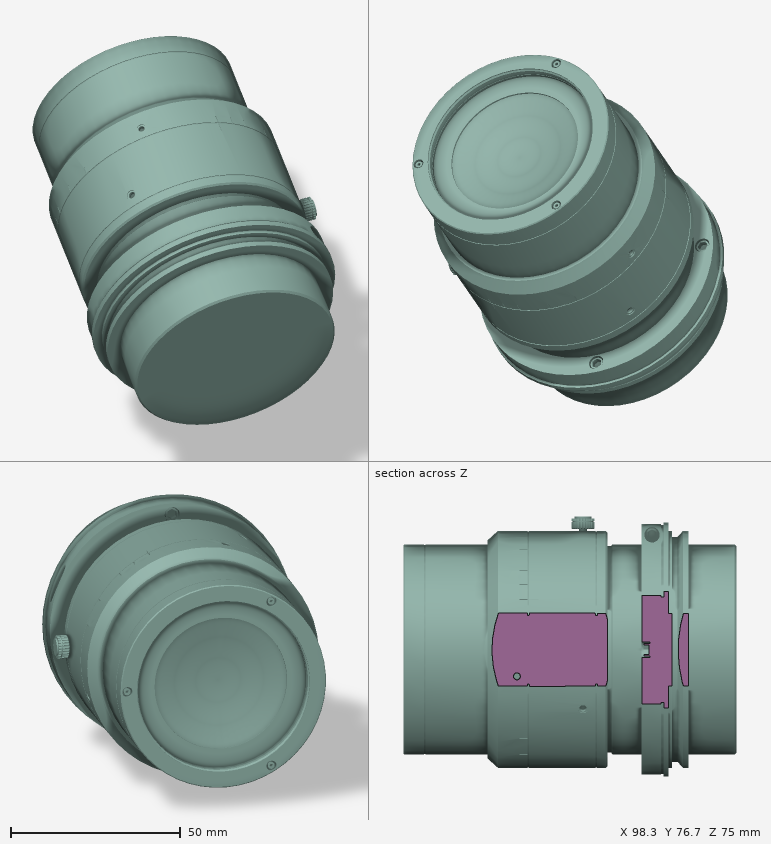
import cadquery as cq
import math


total_length = 98.3
front_seam_x = 6.3
bevel_start_x = 24.8
scale_ring_x = 27.9
scale_seam_x = 36.9
grip_seam_x = 56.9
grip_end_x = 60.2
neck_end_x = 61.4
flange_x = 70.3
flange_end_x = 76.0
disc_x = 76.7
disc_end_x = 78.3
collar_end_x = 79.3
dovetail_groove_end_x = 80.9
dovetail_tip_x = 82.5
dovetail_end_x = 84.1

barrel_radius = 62.0 / 2
bevel_radius = 32.2
grip_radius = 70.0 / 2
neck_radius = 30.5
mount_radius = 31.0
flange_radius = 37.0
flange_step_radius = 36.8
disc_radius = 75.0 / 2
dovetail_groove_radius = 33.2

front_chamfer = 0.3
grip_chamfer = 0.5
mount_chamfer = 0.3
rear_chamfer = 0.6

seam_width = 0.4
seam_depth = 0.2

mouth_radius = 52.2 / 2
mouth_depth = 0.4
mouth_chamfer = 0.4
ledge_x = 2.7
ledge_width = 0.1
recess_depth = 3.6
glass_rim_depth = 0.6
glass_radius = 40.0 / 2
glass_sag = 3.4

front_screw_count = 3
front_screw_circle_radius = 29.0
front_hole_diameter = 3.0
front_head_diameter = 2.1
front_socket_size = 0.9
front_head_recess = 0.3
front_hole_depth = 1.5

screw_places = 3
screw_spacing = 360 / screw_places
scale_screw_x = 33.4
scale_screw_angle = 13.3
scale_screw_diameter = 2.8
scale_socket_diameter = 1.9
grip_screw_x = 53.0
grip_screw_angle = 30.0
grip_screw_diameter = 3.0
grip_socket_diameter = 2.1
set_screw_recess = 0.3
set_screw_socket_depth = 1.2

scale_repeats = 3
scale_start_angle = -24.8
stroke_angles = (0, 8.5, 17, 33, 46.8)
stroke_width = 0.3
stroke_depth = 0.2
scale_stroke_length = 2.6
index_stroke_length = 2.95
index_stroke_width = 0.15

cap_hole_diameter = 4.5
cap_head_diameter = 3.8
cap_socket_size = 2.8
cap_socket_depth = 1.6
cap_hole_depth = 2.3
cap_head_height = 1.8
flange_screw_circle_radius = 33.5
flange_screw_count = 4
clamp_screw_x = 73.4
clamp_screw_y = 33.8
clamp_floor_z = 4.9

knob_top_y = 76.7 - disc_radius
knob_radius = 3.4
knob_height = 3.6
knob_chamfer = 0.3
knob_crown_radius = 2.6
knob_crown_height = 0.5
knob_groove_depth = 0.4
knob_groove_width = 0.4
knob_groove_y = 37.8
knob_stem_radius = 1.2
knob_stem_embed = 1.0
knurl_count = 24
knurl_radius = 0.3


def turn(points):
    """Revolve a closed (x, radius) outline about the X axis."""
    return cq.Workplane("XY").polyline(points).close().revolve(360, (0, 0, 0), (1, 0, 0))


def make_body():
    outline = [
        (0, 0),
        (0, barrel_radius - front_chamfer),
        (front_chamfer, barrel_radius),
        (bevel_start_x, barrel_radius),
        (bevel_start_x, bevel_radius),
        (scale_ring_x, grip_radius),
        (grip_end_x - grip_chamfer, grip_radius),
        (grip_end_x, grip_radius - grip_chamfer),
        (grip_end_x, neck_radius),
        (neck_end_x, neck_radius),
        (neck_end_x, mount_radius - mount_chamfer),
        (neck_end_x + mount_chamfer, mount_radius),
        (flange_x, mount_radius),
        (flange_x, flange_radius),
        (flange_end_x, flange_radius),
        (flange_end_x, flange_step_radius),
        (disc_x, flange_step_radius),
        (disc_x, disc_radius),
        (disc_end_x, disc_radius),
        (disc_end_x, grip_radius),
        (collar_end_x, grip_radius),
        (collar_end_x, dovetail_groove_radius),
        (dovetail_groove_end_x, dovetail_groove_radius),
        (dovetail_tip_x, grip_radius),
        (dovetail_end_x, grip_radius),
        (dovetail_end_x, barrel_radius),
        (total_length - rear_chamfer, barrel_radius),
        (total_length, barrel_radius - rear_chamfer),
        (total_length, 0),
    ]
    return turn(outline)


def seam(x, radius):
    """Shallow ring groove centred at x on a cylinder of the given radius."""
    half_width = seam_width / 2
    bottom = radius - seam_depth
    top = radius + seam_depth
    return turn([
        (x - half_width, bottom),
        (x + half_width, bottom),
        (x + half_width, top),
        (x - half_width, top),
    ])


def front_recess():
    """Stepped cutter with the spherical hollow of the glass at its bottom."""
    sphere_radius = (glass_radius**2 + glass_sag**2) / (2 * glass_sag)
    half_angle = math.asin(glass_radius / sphere_radius) / 2
    wall_radius = mouth_radius - mouth_chamfer
    floor_radius = wall_radius - ledge_width
    glass_edge_x = recess_depth + glass_rim_depth
    glass_centre_x = glass_edge_x + glass_sag
    arc_x = glass_centre_x - sphere_radius * (1 - math.cos(half_angle))
    arc_radius = sphere_radius * math.sin(half_angle)
    return (
        cq.Workplane("XY")
        .moveTo(0, 0)
        .lineTo(0, mouth_radius)
        .lineTo(mouth_depth, mouth_radius)
        .lineTo(mouth_depth + mouth_chamfer, wall_radius)
        .lineTo(ledge_x, wall_radius)
        .lineTo(ledge_x, floor_radius)
        .lineTo(recess_depth, floor_radius)
        .lineTo(recess_depth, glass_radius)
        .lineTo(glass_edge_x, glass_radius)
        .threePointArc((arc_x, arc_radius), (glass_centre_x, 0))
        .close()
        .revolve(360, (0, 0, 0), (1, 0, 0))
    )


def sunk_cap_screw(hole_diameter, hole_depth, head_diameter, head_height, socket_size, socket_depth):
    """Cutter for a hole along -Z from the origin that leaves a hex socket screw head standing in it."""
    head_top = head_height - hole_depth
    hole = cq.Workplane("XY").circle(hole_diameter / 2).extrude(-hole_depth)
    head = cq.Workplane("XY").workplane(offset=-hole_depth).circle(head_diameter / 2).extrude(head_height)
    socket = (
        cq.Workplane("XY")
        .workplane(offset=head_top)
        .polygon(6, socket_size, circumscribed=True)
        .extrude(-socket_depth)
    )
    return hole.cut(head).union(socket)


def place_facing_front(cutter, x, radius, angle):
    """Turn a -Z cutter to point along +X and place it at an angle about X, from +Y towards +Z."""
    return (
        cutter.rotate((0, 0, 0), (0, 1, 0), -90)
        .translate((x, radius, 0))
        .rotate((0, 0, 0), (1, 0, 0), angle)
    )


def radial_set_screw(x, angle, hole_diameter, socket_diameter):
    """Cutter for a recessed set screw; the angle runs about X from +Z towards -Y."""
    overlap = 1.0
    recess_floor = grip_radius - set_screw_recess
    recess = (
        cq.Workplane("XY")
        .workplane(offset=recess_floor)
        .circle(hole_diameter / 2)
        .extrude(set_screw_recess + overlap)
    )
    socket = (
        cq.Workplane("XY")
        .workplane(offset=recess_floor)
        .circle(socket_diameter / 2)
        .extrude(-set_screw_socket_depth)
    )
    return recess.union(socket).translate((x, 0, 0)).rotate((0, 0, 0), (1, 0, 0), angle)


def axial_stroke(start_x, length, width, angle):
    """Cutter for a shallow stroke along X; the angle runs about X from +Z towards -Y."""
    return (
        cq.Workplane("XY")
        .box(length, width, 2 * stroke_depth, centered=(False, True, True))
        .translate((start_x, 0, grip_radius))
        .rotate((0, 0, 0), (1, 0, 0), angle)
    )


def make_knob():
    """Thumb screw with its axis along Y: stem, knurled head, ring groove and raised crown."""
    head_top = knob_top_y - knob_crown_height
    head_bottom = knob_top_y - knob_height
    stem_bottom = grip_radius - knob_stem_embed
    half_groove = knob_groove_width / 2
    outline = [
        (0, stem_bottom),
        (knob_stem_radius, stem_bottom),
        (knob_stem_radius, head_bottom),
        (knob_radius - knob_chamfer, head_bottom),
        (knob_radius, head_bottom + knob_chamfer),
        (knob_radius, knob_groove_y - half_groove),
        (knob_radius - knob_groove_depth, knob_groove_y - half_groove),
        (knob_radius - knob_groove_depth, knob_groove_y + half_groove),
        (knob_radius, knob_groove_y + half_groove),
        (knob_radius, head_top),
        (knob_crown_radius, head_top),
        (knob_crown_radius, knob_top_y),
        (0, knob_top_y),
    ]
    knob = cq.Workplane("XY").polyline(outline).close().revolve(360, (0, 0, 0), (0, 1, 0))
    flutes = (
        cq.Workplane("XZ", origin=(0, head_bottom, 0))
        .polarArray(knob_radius, 0, 360, knurl_count)
        .circle(knurl_radius)
        .extrude(-(head_top - head_bottom))
    )
    return knob.cut(flutes).translate((grip_screw_x, 0, 0))


result = make_body().cut(front_recess())
result = result.cut(seam(front_seam_x, barrel_radius))
for seam_x in (scale_seam_x, grip_seam_x):
    result = result.cut(seam(seam_x, grip_radius))

scale_stroke_x = scale_seam_x - scale_stroke_length
for repeat in range(scale_repeats):
    start_angle = scale_start_angle + repeat * 360 / scale_repeats
    for stroke_angle in stroke_angles:
        angle = start_angle - stroke_angle
        result = result.cut(axial_stroke(scale_stroke_x, scale_stroke_length, stroke_width, angle))
    result = result.cut(axial_stroke(scale_seam_x, index_stroke_length, index_stroke_width, start_angle))

front_screw = sunk_cap_screw(
    front_hole_diameter,
    front_hole_depth,
    front_head_diameter,
    front_hole_depth - front_head_recess,
    front_socket_size,
    front_hole_depth - front_head_recess,
)
for index in range(front_screw_count):
    angle = index * 360 / front_screw_count
    result = result.cut(place_facing_front(front_screw, 0, front_screw_circle_radius, angle))

cap_screw = sunk_cap_screw(
    cap_hole_diameter,
    cap_hole_depth,
    cap_head_diameter,
    cap_head_height,
    cap_socket_size,
    cap_socket_depth,
)
for index in range(1, flange_screw_count):
    angle = index * 360 / flange_screw_count
    result = result.cut(place_facing_front(cap_screw, flange_x, flange_screw_circle_radius, angle))

clamp_hole_height = flange_radius - clamp_floor_z
clamp_screw = sunk_cap_screw(
    cap_hole_diameter,
    clamp_hole_height,
    cap_head_diameter,
    cap_head_height,
    cap_socket_size,
    cap_socket_depth,
)
result = result.cut(clamp_screw.translate((clamp_screw_x, clamp_screw_y, flange_radius)))

for index in range(screw_places):
    angle = scale_screw_angle + index * screw_spacing
    result = result.cut(
        radial_set_screw(scale_screw_x, angle, scale_screw_diameter, scale_socket_diameter)
    )
for index in range(screw_places - 1):
    angle = grip_screw_angle + index * screw_spacing
    result = result.cut(radial_set_screw(grip_screw_x, angle, grip_screw_diameter, grip_socket_diameter))
result = result.union(make_knob())